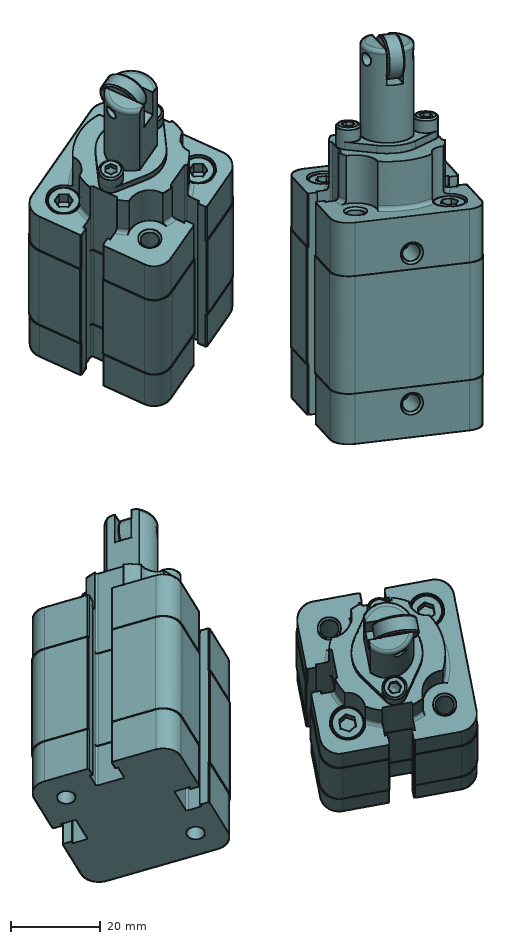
import cadquery as cq
import math

LOWER_JOINT_Z = 12.1
UPPER_JOINT_Z = 40.3
HOUSING_TOP_Z = 53.0
NECK_TOP_Z = 64.5
PLATE_TOP_Z = 66.3
PLATE_SCREW_TOP_Z = 69.7

TUBE_SIZE = 36.0
CAP_SIZE = 35.65
CORNER_RADIUS = 4.5

NECK_RADIUS = 13.0
NECK_FILLET = 1.0

SLOT_MOUTH_WIDTH = 5.5
SLOT_WIDTH = 6.9
CAP_SLOT_FLOOR = 11.9
TUBE_SLOT_FLOOR = 11.8
SLOT_LIP_INNER = 15.6
SLOT_ANGLES = (0, 90, 270)
SLOT_FLOOR_FILLET = 0.45
SLOT_MOUTH_CHAMFER = 0.3

BOLT_OFFSET = 11.0
BOLT_HOLE_DIAMETER = 4.2
BOLT_HOLE_CHAMFER = 0.5
HOLE_CLEARANCE_DIAMETER = 10.0
COUNTERBORE_DIAMETER = 8.0
COUNTERBORE_DEPTH = 4.5
BOLT_HEAD_DIAMETER = 7.5
BOLT_HEAD_RECESS = 0.4
BOLT_HEAD_CHAMFER = 0.3
BOLT_HEX_FLATS = 3.5
BOLT_HEX_DEPTH = 3.2
BOLT_HEX_TURN = 30

PLATE_RADIUS = 8.0
PLATE_SCREW_OFFSET = 9.1
PLATE_SCREW_DIAMETER = 5.5
PLATE_SCREW_CHAMFER = 0.45
PLATE_HEX_FLATS = 2.5
PLATE_HEX_DEPTH = 1.0

PORT_HEIGHTS = (8.05, 44.1)
PORT_DIAMETER = 4.2
PORT_CHAMFER = 0.5

PISTON_DIAMETER = 20.0
PISTON_BOTTOM_Z = 5.0
ROD_DIAMETER = 12.0
ROD_TOP_Z = 88.5
ROD_TOP_FILLET = 1.0
ROD_FLAT_X = 4.5

TOTAL_HEIGHT = 90.5
ROLLER_DIAMETER = 10.0
ROLLER_CHAMFER = 0.4
ROLLER_X = -2.0
ROLLER_Z = TOTAL_HEIGHT - ROLLER_DIAMETER / 2
FORK_WIDTH = 4.0
FORK_FLOOR_Z = 80.1
PIN_DIAMETER = 3.0
PIN_RECESS_Y = 4.0

CLEAR = 54.3


def cylinder(x, y, bottom, top, diameter):
    """Upright cylinder between two levels."""
    return cq.Workplane("XY", origin=(x, y, bottom)).circle(diameter / 2).extrude(top - bottom)


def chamfer_cone(diameter, chamfer, mouth, direction):
    """Cone that chamfers the mouth of a hole running in the given direction."""
    radius = diameter / 2
    return cq.Workplane(cq.Solid.makeCone(
        radius + chamfer, radius, chamfer, cq.Vector(mouth), cq.Vector(direction)
    ))


def hex_prism(x, y, bottom, top, flats, turn):
    """Upright hexagonal prism; a turn of 0 puts its corners along X."""
    prism = (
        cq.Workplane("XY")
        .polygon(6, flats / math.cos(math.pi / 6))
        .extrude(top - bottom)
        .rotate((0, 0, 0), (0, 0, 1), turn)
    )
    return prism.translate((x, y, bottom))


def rounded_block(size, bottom, top):
    """Square block with rounded upright corners."""
    radius = CORNER_RADIUS - (TUBE_SIZE - size) / 2
    return (
        cq.Workplane("XY", origin=(0, 0, bottom))
        .rect(size, size)
        .extrude(top - bottom)
        .edges("|Z")
        .fillet(radius)
    )


def upper_cap_with_neck():
    """Upper cap with the round neck blended into its top face."""
    cap = rounded_block(CAP_SIZE, UPPER_JOINT_Z, HOUSING_TOP_Z)
    neck = cylinder(0, 0, UPPER_JOINT_Z, NECK_TOP_Z, 2 * NECK_RADIUS)
    foot = cq.selectors.NearestToPointSelector((0, 0, HOUSING_TOP_Z))
    return cap.union(neck).edges("%CIRCLE").edges(foot).fillet(NECK_FILLET)


def slot_cutter(floor, face, bottom, top):
    """T-slot open towards +X, with rounded floor corners and a chamfered mouth at the outer face."""
    half_width = SLOT_WIDTH / 2
    half_mouth = SLOT_MOUTH_WIDTH / 2
    half_flare = half_mouth + SLOT_MOUTH_CHAMFER
    return (
        cq.Workplane("XY", origin=(0, 0, bottom))
        .moveTo(floor, -half_width)
        .lineTo(SLOT_LIP_INNER, -half_width)
        .lineTo(SLOT_LIP_INNER, -half_mouth)
        .lineTo(face - SLOT_MOUTH_CHAMFER, -half_mouth)
        .lineTo(face, -half_flare)
        .lineTo(face, half_flare)
        .lineTo(face - SLOT_MOUTH_CHAMFER, half_mouth)
        .lineTo(SLOT_LIP_INNER, half_mouth)
        .lineTo(SLOT_LIP_INNER, half_width)
        .lineTo(floor, half_width)
        .close()
        .extrude(top - bottom)
        .edges("|Z and <X")
        .fillet(SLOT_FLOOR_FILLET)
    )


def cut_slots(body, floor, size, bottom, top):
    """Cut the T-slots into a square block of the given size."""
    slot = slot_cutter(floor, size / 2, bottom, top)
    for angle in SLOT_ANGLES:
        body = body.cut(slot.rotate((0, 0, 0), (0, 0, 1), angle))
    return body


def cut_bolt_hole(body, x, y):
    """Through hole with a chamfered mouth and room for a bolt beside the neck."""
    clearance = cylinder(x, y, HOUSING_TOP_Z, NECK_TOP_Z, HOLE_CLEARANCE_DIAMETER)
    hole = cylinder(x, y, 0, HOUSING_TOP_Z, BOLT_HOLE_DIAMETER)
    mouth = chamfer_cone(BOLT_HOLE_DIAMETER, BOLT_HOLE_CHAMFER, (x, y, HOUSING_TOP_Z), (0, 0, -1))
    return body.cut(clearance).cut(hole).cut(mouth)


def add_bolt(body, x, y):
    """Socket-head bolt sunk in a counterbore that also cuts into the neck."""
    seat = HOUSING_TOP_Z - COUNTERBORE_DEPTH
    head_top = HOUSING_TOP_Z - BOLT_HEAD_RECESS
    counterbore = cylinder(x, y, seat, NECK_TOP_Z, COUNTERBORE_DIAMETER)
    head = cylinder(x, y, seat, head_top, BOLT_HEAD_DIAMETER).faces(">Z").chamfer(BOLT_HEAD_CHAMFER)
    socket = hex_prism(x, y, head_top - BOLT_HEX_DEPTH, head_top, BOLT_HEX_FLATS, BOLT_HEX_TURN)
    return body.cut(counterbore).union(head.cut(socket))


def retaining_plate():
    """Plate outlined by a large circle and two small ones joined by tangent lines."""
    end_radius = PLATE_SCREW_DIAMETER / 2
    sine = (PLATE_RADIUS - end_radius) / PLATE_SCREW_OFFSET
    cosine = math.sqrt(1 - sine**2)
    side_x = PLATE_RADIUS * cosine
    side_y = PLATE_RADIUS * sine
    end_x = end_radius * cosine
    end_y = PLATE_SCREW_OFFSET + end_radius * sine
    tip_y = PLATE_SCREW_OFFSET + end_radius
    return (
        cq.Workplane("XY", origin=(0, 0, NECK_TOP_Z))
        .moveTo(side_x, -side_y)
        .threePointArc((PLATE_RADIUS, 0), (side_x, side_y))
        .lineTo(end_x, end_y)
        .threePointArc((0, tip_y), (-end_x, end_y))
        .lineTo(-side_x, side_y)
        .threePointArc((-PLATE_RADIUS, 0), (-side_x, -side_y))
        .lineTo(-end_x, -end_y)
        .threePointArc((0, -tip_y), (end_x, -end_y))
        .close()
        .extrude(PLATE_TOP_Z - NECK_TOP_Z)
    )


def plate_screw(y):
    """Screw head with a hexagonal socket that ends in a cone."""
    head = (
        cylinder(0, y, NECK_TOP_Z, PLATE_SCREW_TOP_Z, PLATE_SCREW_DIAMETER)
        .faces(">Z").chamfer(PLATE_SCREW_CHAMFER)
    )
    corner_radius = PLATE_HEX_FLATS / 2 / math.cos(math.pi / 6)
    cone_top = PLATE_SCREW_TOP_Z - PLATE_HEX_DEPTH
    socket = hex_prism(0, y, cone_top, PLATE_SCREW_TOP_Z, PLATE_HEX_FLATS, 0)
    cone = cq.Workplane(cq.Solid.makeCone(
        corner_radius, 0, corner_radius, cq.Vector(0, y, cone_top), cq.Vector(0, 0, -1)
    ))
    cone_bottom = cone_top - corner_radius
    tip = cone.intersect(hex_prism(0, y, cone_bottom, cone_top, PLATE_HEX_FLATS, 0))
    return head.cut(socket).cut(tip)


def port_cutter(z):
    """Port from the -X face to the bore, chamfered at its mouth."""
    face_x = -CAP_SIZE / 2
    port = cq.Workplane("YZ", origin=(face_x, 0, z)).circle(PORT_DIAMETER / 2).extrude(-face_x)
    mouth = chamfer_cone(PORT_DIAMETER, PORT_CHAMFER, (face_x, 0, z), (1, 0, 0))
    return port.union(mouth)


def make_housing(rod):
    """Caps, tube, neck, bolts and retaining plate, bored out to take the rod."""
    lower_cap = rounded_block(CAP_SIZE, 0, LOWER_JOINT_Z)
    lower_cap = cut_slots(lower_cap, CAP_SLOT_FLOOR, CAP_SIZE, 0, LOWER_JOINT_Z)
    tube = rounded_block(TUBE_SIZE, LOWER_JOINT_Z, UPPER_JOINT_Z)
    tube = cut_slots(tube, TUBE_SLOT_FLOOR, TUBE_SIZE, LOWER_JOINT_Z, UPPER_JOINT_Z)
    upper_cap = cut_slots(upper_cap_with_neck(), CAP_SLOT_FLOOR, CAP_SIZE, UPPER_JOINT_Z, NECK_TOP_Z)
    body = lower_cap.union(tube).union(upper_cap)
    for side in (-1, 1):
        body = cut_bolt_hole(body, side * BOLT_OFFSET, -side * BOLT_OFFSET)
        body = add_bolt(body, side * BOLT_OFFSET, side * BOLT_OFFSET)
    body = body.union(retaining_plate())
    for side in (-1, 1):
        body = body.union(plate_screw(side * PLATE_SCREW_OFFSET))
    for z in PORT_HEIGHTS:
        body = body.cut(port_cutter(z))
    return body.cut(rod)


def make_rod():
    """Piston, flatted rod, and roller held in the forked rod end."""
    shaft = (
        cylinder(0, 0, HOUSING_TOP_Z, ROD_TOP_Z, ROD_DIAMETER)
        .faces(">Z")
        .edges()
        .fillet(ROD_TOP_FILLET)
    )
    flat = cq.Workplane("XY").box(CLEAR, CLEAR, TOTAL_HEIGHT, centered=(False, True, False))
    shaft = shaft.cut(flat.translate((ROD_FLAT_X, 0, 0)))
    fork = cq.Workplane("XY", origin=(0, 0, FORK_FLOOR_Z)).box(
        CLEAR, FORK_WIDTH, CLEAR, centered=(True, True, False)
    )
    shaft = shaft.cut(fork)
    for side in (-1, 1):
        recess = (
            cq.Workplane("XZ", origin=(ROLLER_X, side * PIN_RECESS_Y, ROLLER_Z))
            .circle(PIN_DIAMETER / 2)
            .extrude(-side * ROD_DIAMETER / 2)
        )
        shaft = shaft.cut(recess)
    roller = (
        cq.Workplane("XZ", origin=(ROLLER_X, 0, ROLLER_Z))
        .circle(ROLLER_DIAMETER / 2)
        .extrude(FORK_WIDTH / 2, both=True)
        .edges()
        .chamfer(ROLLER_CHAMFER)
    )
    piston = cylinder(0, 0, PISTON_BOTTOM_Z, HOUSING_TOP_Z, PISTON_DIAMETER)
    return piston.union(shaft).union(roller)


rod = make_rod()
housing = make_housing(rod)
result = cq.Compound.makeCompound([housing.val(), rod.val()])